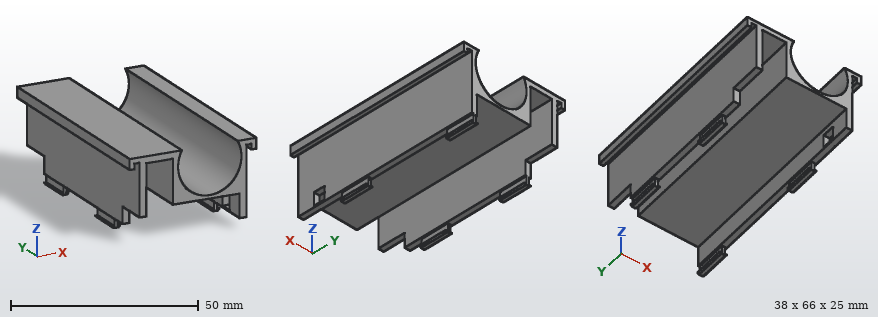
import cadquery as cq

width = 38.0
length = 66.0
height = 25.0

overhang = 3.0
overhang_thickness = 1.5
lip_width = 1.45
lip_height = 3.1
plate_thickness = 2.0

wall_thickness = 2.05
wall_height = 22.0
left_wall_x = overhang
right_wall_x = width - overhang - wall_thickness

block_left_x = 13.0
block_height = 15.0
channel_x = 24.0
channel_depth = 4.5
channel_radius = 9.5

notch_length = 10.0
notch_top = 17.0
window_start = 6.0
window_sill = 0.45

foot_length = 10.0
stem_width = 1.0
head_width = 2.25
head_tip_width = 1.3
head_height = 0.5
foot_inset = 1.1
front_foot_y = 16.0
left_rear_foot_y = length - notch_length - foot_length
right_rear_foot_y = length - foot_length


def bar(x, y, top, size_x, size_y, size_z):
    """Box with its left front corner at (x, y), hanging down from Z = -top."""
    return cq.Workplane("XY").box(size_x, size_y, size_z, centered=False).translate((x, y, -top - size_z))


def make_body():
    """Top plate, lips, walls and channel block, all running the full length."""
    body = bar(0, 0, 0, width, length, overhang_thickness)
    for lip_x in (0, width - lip_width):
        body = body.union(bar(lip_x, 0, 0, lip_width, length, lip_height))
    for wall_x in (left_wall_x, right_wall_x):
        body = body.union(bar(wall_x, 0, 0, wall_thickness, length, wall_height))
    inner_width = right_wall_x - left_wall_x
    body = body.union(bar(left_wall_x, 0, 0, inner_width, length, plate_thickness))
    block_width = right_wall_x - block_left_x
    return body.union(bar(block_left_x, 0, 0, block_width, length, block_height))


def make_channel():
    """Cylinder that cuts the round channel, open through the top face."""
    profile = cq.Workplane("XZ").center(channel_x, -channel_depth).circle(channel_radius)
    return profile.extrude(-length)


def make_foot(x, y):
    """Thin stem with a tapered head, centred on x and starting at y."""
    head_top = height - head_height
    stem = bar(x - stem_width / 2, y, wall_height, stem_width, foot_length, height - wall_height)
    head = (
        cq.Workplane("XZ")
        .polyline([
            (x - head_width / 2, -head_top),
            (x + head_width / 2, -head_top),
            (x + head_tip_width / 2, -height),
            (x - head_tip_width / 2, -height),
        ])
        .close()
        .extrude(-foot_length)
        .translate((0, y, 0))
    )
    return stem.union(head)


result = make_body().cut(make_channel())

for notch_y in (0, length - notch_length):
    notch = bar(left_wall_x, notch_y, notch_top, wall_thickness, notch_length, wall_height - notch_top)
    result = result.cut(notch)

window_length = notch_length - window_start
window_height = wall_height - window_sill - notch_top
window = bar(right_wall_x, window_start, notch_top, wall_thickness, window_length, window_height)
result = result.cut(window)

left_foot_x = overhang + foot_inset
right_foot_x = width - overhang - foot_inset
for foot_x, rear_foot_y in (
    (left_foot_x, left_rear_foot_y),
    (right_foot_x, right_rear_foot_y),
):
    for foot_y in (front_foot_y, rear_foot_y):
        result = result.union(make_foot(foot_x, foot_y))